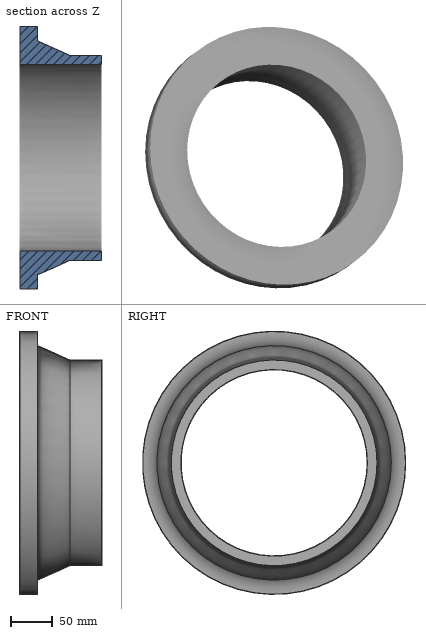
import cadquery as cq

total_length = 100.0
flange_thickness = 22.0
neck_length = 39.0

flange_diameter = 320.0
hub_diameter = 285.0
neck_diameter = 250.0
bore_diameter = 226.2

hub_length = total_length - flange_thickness - neck_length


def make_flange():
    """Flat disc with its face on the X = 0 plane."""
    return cq.Workplane("YZ").circle(flange_diameter / 2).extrude(flange_thickness)


def make_hub():
    """Cone narrowing from the back of the flange to the neck."""
    return (
        cq.Workplane("YZ", origin=(flange_thickness, 0, 0))
        .circle(hub_diameter / 2)
        .workplane(offset=hub_length)
        .circle(neck_diameter / 2)
        .loft(ruled=True)
    )


def make_neck():
    """Straight pipe end behind the hub."""
    neck_start = flange_thickness + hub_length
    return cq.Workplane("YZ", origin=(neck_start, 0, 0)).circle(neck_diameter / 2).extrude(neck_length)


def make_bore():
    """Straight through bore along the whole length."""
    return cq.Workplane("YZ").circle(bore_diameter / 2).extrude(total_length)


result = make_flange().union(make_hub()).union(make_neck()).cut(make_bore())